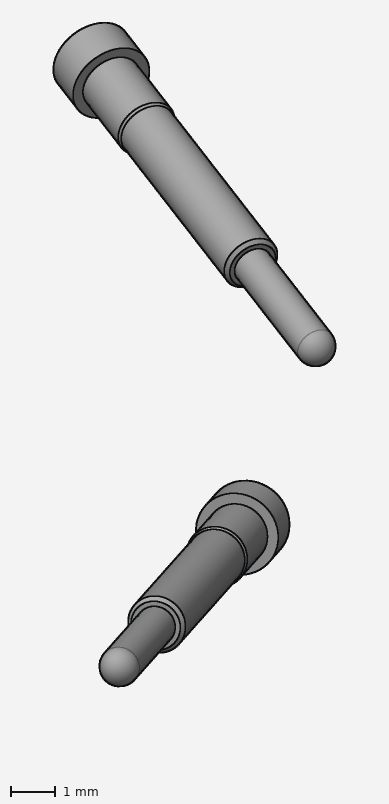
import cadquery as cq

total_length = 11.7
head_diameter = 1.9
head_length = 1.0
collar_diameter = 1.4
collar_end = 2.76
taper_length = 0.07
body_diameter = 1.32
body_end = 8.1
body_chamfer = 0.09
plunger_diameter = 0.9


def cylinder(start, end, diameter):
    """Solid cylinder on the X axis between two X positions."""
    return cq.Workplane("YZ", origin=(start, 0, 0)).circle(diameter / 2).extrude(end - start)


def make_collar_taper():
    """Short cone from the collar down to the body."""
    profile = (
        cq.Workplane("XY")
        .moveTo(collar_end, 0)
        .lineTo(collar_end, collar_diameter / 2)
        .lineTo(collar_end + taper_length, body_diameter / 2)
        .lineTo(collar_end + taper_length, 0)
        .close()
    )
    return profile.revolve(360, (0, 0, 0), (1, 0, 0))


def make_plunger():
    """Plunger with a full round tip."""
    radius = plunger_diameter / 2
    tip_center = total_length - radius
    profile = (
        cq.Workplane("XY")
        .moveTo(body_end, 0)
        .lineTo(body_end, radius)
        .lineTo(tip_center, radius)
        .radiusArc((total_length, 0), radius)
        .close()
    )
    return profile.revolve(360, (0, 0, 0), (1, 0, 0))


head = cylinder(0, head_length, head_diameter)
collar = cylinder(head_length, collar_end, collar_diameter)
body = cylinder(collar_end, body_end, body_diameter).faces(">X").chamfer(body_chamfer)

result = head.union(collar).union(body).union(make_collar_taper()).union(make_plunger())